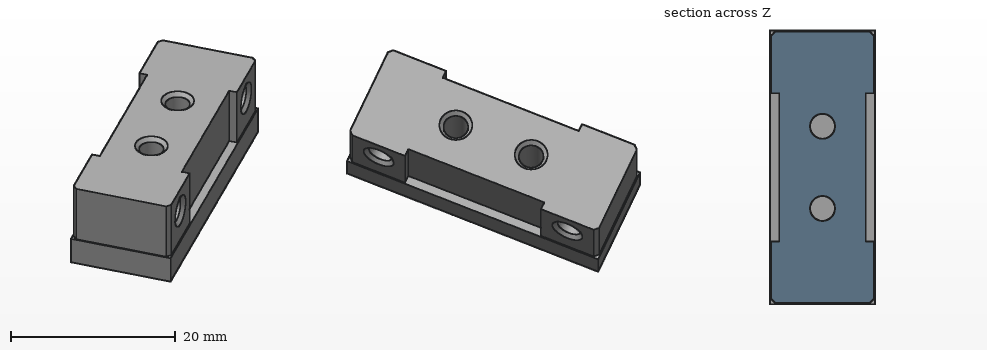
import cadquery as cq

base_width = 12.8
base_length = 33.3
base_height = 3.5
total_height = 11.0

block_width = 12.52
block_length = 33.0
block_height = total_height - base_height
corner_chamfer = 0.5

waist_width = 10.52
waist_length = 18.0

hole_diameter = 3.0
countersink_diameter = 4.0
countersink_depth = (countersink_diameter - hole_diameter) / 2
top_hole_spacing = 10.0
top_hole_depth = block_height
cross_hole_spacing = 25.0
cross_hole_height = 7.75


def countersunk_hole(start, direction, depth):
    """Cutter with a 45 degree mouth at start, running along direction."""
    hole = cq.Solid.makeCylinder(hole_diameter / 2, depth, start, direction)
    mouth = cq.Solid.makeCone(
        countersink_diameter / 2, hole_diameter / 2, countersink_depth, start, direction
    )
    return cq.Workplane(hole.fuse(mouth))


def make_base():
    return cq.Workplane().box(base_width, base_length, base_height, centered=(True, True, False))


def make_block():
    block = (
        cq.Workplane()
        .workplane(offset=base_height)
        .box(block_width, block_length, block_height, centered=(True, True, False))
        .edges("|Z")
        .chamfer(corner_chamfer)
    )
    recess_depth = (block_width - waist_width) / 2
    recess_center = (block_width + waist_width) / 4
    recesses = (
        cq.Workplane()
        .workplane(offset=base_height)
        .pushPoints([(-recess_center, 0), (recess_center, 0)])
        .rect(recess_depth, waist_length)
        .extrude(block_height)
    )
    return block.cut(recesses)


result = make_base().union(make_block())

for end in (-1, 1):
    top_start = cq.Vector(0, end * top_hole_spacing / 2, total_height)
    result = result.cut(countersunk_hole(top_start, cq.Vector(0, 0, -1), top_hole_depth))

    for side in (-1, 1):
        cross_start = cq.Vector(side * block_width / 2, end * cross_hole_spacing / 2, cross_hole_height)
        result = result.cut(countersunk_hole(cross_start, cq.Vector(-side, 0, 0), block_width))